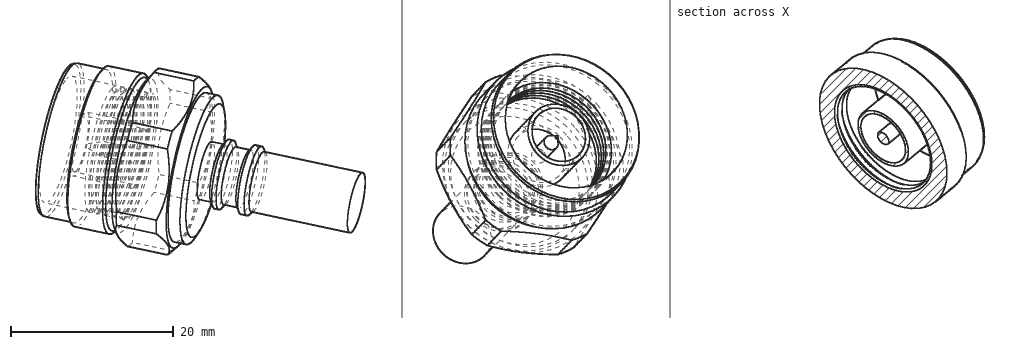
import cadquery as cq
import math

total_length = 38.4

barrel_radius = 9.67
barrel_chamfer_length = 0.4
barrel_chamfer_depth = 0.15
collar_radius = 10.15
collar_start = 4.07
collar_end = 9.05
collar_chamfer = 0.25

nut_start = 9.85
nut_end = 17.0
nut_across_flats = 20.65
nut_across_corners = 22.6
nut_corner_radius = nut_across_corners / 2
nut_front_bevel = 1.07
nut_rear_bevel = 0.92
nut_rear_radius = 10.17

flange_radius = 9.4
flange_end = 19.0
flange_chamfer_length = 0.45
flange_chamfer_depth = 1.0

stem_radius = 3.65
ring_radius = 4.38
ring_bevel = 0.45
front_ring_start = 20.6
front_ring_end = 22.1
rear_ring_start = 24.0
stem_end = 25.72

cable_radius = 3.8

bore_radius = 8.0
thread_crest_radius = 7.37
thread_start = 5.85
thread_flank = 0.3
thread_pitch = 0.9
thread_count = 5

sleeve_outer_radius = 4.05
sleeve_inner_radius = 3.5
sleeve_start = 2.8
pin_radius = 0.92
pin_tip_radius = 0.2
pin_start = 3.6
pin_taper = 2.0

bore_depth = thread_start + thread_pitch * thread_count


def revolve_profile(points):
    """Turn a closed (x, radius) outline into a solid about the X axis."""
    return cq.Workplane("XY").polyline(points).close().revolve(360, (0, 0, 0), (1, 0, 0))


def cylinder(start, end, radius):
    """Round bar along X."""
    return revolve_profile([(start, 0), (start, radius), (end, radius), (end, 0)])


def make_barrel():
    """Front barrel with its raised collar, running back into the nut."""
    return revolve_profile([
        (0, 0),
        (0, barrel_radius - barrel_chamfer_depth),
        (barrel_chamfer_length, barrel_radius),
        (collar_start, barrel_radius),
        (collar_start + collar_chamfer, collar_radius),
        (collar_end - collar_chamfer, collar_radius),
        (collar_end, barrel_radius),
        (nut_start, barrel_radius),
        (nut_start, 0),
    ])


def make_nut():
    """Hexagonal nut with flats at +Z and -Z, cut back to a bevelled round envelope."""
    sharp_corner_width = nut_across_flats / math.cos(math.radians(30))
    hexagon = (
        cq.Workplane("YZ", origin=(nut_start, 0, 0))
        .polygon(6, sharp_corner_width)
        .extrude(nut_end - nut_start)
    )
    envelope = revolve_profile([
        (nut_start, 0),
        (nut_start, barrel_radius),
        (nut_start + nut_front_bevel, nut_corner_radius),
        (nut_end - nut_rear_bevel, nut_corner_radius),
        (nut_end, nut_rear_radius),
        (nut_end, 0),
    ])
    return hexagon.intersect(envelope)


def make_rear_end():
    """Chamfered flange behind the nut and the ringed stem that follows it."""
    return revolve_profile([
        (nut_end, 0),
        (nut_end, flange_radius),
        (flange_end - flange_chamfer_length, flange_radius),
        (flange_end, flange_radius - flange_chamfer_depth),
        (flange_end, stem_radius),
        (front_ring_start, stem_radius),
        (front_ring_start + ring_bevel, ring_radius),
        (front_ring_end - ring_bevel, ring_radius),
        (front_ring_end, stem_radius),
        (rear_ring_start, stem_radius),
        (rear_ring_start + ring_bevel, ring_radius),
        (stem_end - ring_bevel, ring_radius),
        (stem_end, cable_radius),
        (stem_end, 0),
    ])


def make_bore():
    """Bore with V-shaped thread ridges beyond its plain mouth."""
    outline = [(0, 0), (0, bore_radius)]
    for turn in range(thread_count):
        ridge_start = thread_start + turn * thread_pitch
        outline += [
            (ridge_start, bore_radius),
            (ridge_start + thread_flank, thread_crest_radius),
            (ridge_start + 2 * thread_flank, bore_radius),
        ]
    outline += [(bore_depth, bore_radius), (bore_depth, 0)]
    return revolve_profile(outline)


def make_sleeve():
    """Thin contact sleeve standing on the bore floor."""
    outside = cylinder(sleeve_start, bore_depth, sleeve_outer_radius)
    inside = cylinder(sleeve_start, bore_depth, sleeve_inner_radius)
    return outside.cut(inside)


def make_pin():
    """Tapered centre pin standing on the bore floor."""
    return revolve_profile([
        (pin_start, 0),
        (pin_start, pin_tip_radius),
        (pin_start + pin_taper, pin_radius),
        (bore_depth, pin_radius),
        (bore_depth, 0),
    ])


def make_connector():
    """Complete connector: outer shell, bore, and the contacts in the bore."""
    shell = make_barrel().union(make_nut()).union(make_rear_end()).cut(make_bore())
    return shell.union(make_sleeve()).union(make_pin())


def make_cable():
    """Plain round cable leaving the end of the stem."""
    return cylinder(stem_end, total_length, cable_radius)


connector = make_connector()
cable = make_cable()

result = cq.Compound.makeCompound([connector.val(), cable.val()])